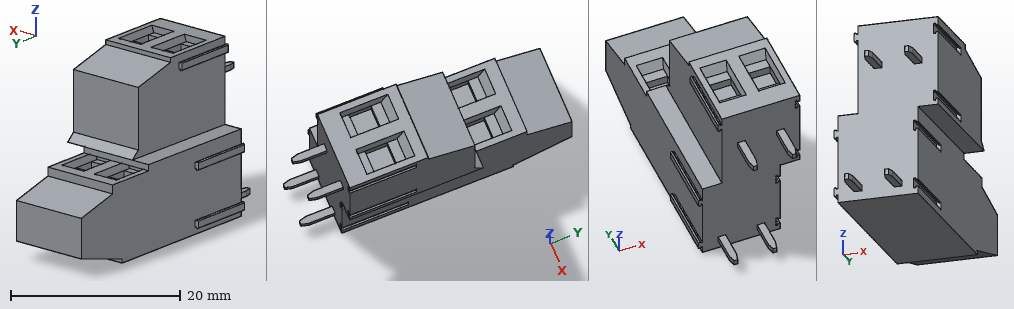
import cadquery as cq


total_depth = 33.8
tier_width = 10.0
pole_count = 2
pole_pitch = tier_width / pole_count
tier_shift = pole_pitch / 2
block_height = 22.0
block_depth = 29.5

lower_pad_top = 10.28
lower_pad_rear = 23.73
lower_nose_top = 7.65
lower_nose_bottom = 2.55
lower_shoulder = 9.15
base_rear = 21.97
base_step = 0.5

joint_depth = 17.1
joint_front = 10.95
joint_rear = 11.05

upper_depth = 16.02
upper_pad_rear = 10.07
upper_shoulder = 21.43
upper_nose_top = 19.87
upper_chamfer_top = 12.03

opening_width = 3.38
opening_length = 6.12
opening_taper_depth = 0.88
opening_side_taper = 0.3
opening_rear_taper = 1.0
well_length = 2.85
well_depth = 1.08
ledge_length = 1.0
upper_opening_front = 2.55
lower_opening_front = 16.0

pin_width = 0.95
pin_thickness = 0.7
pin_length = total_depth - block_depth
pin_straight = 3.38
pin_tip_width = 0.47
lower_pin_height = 1.5
upper_pin_height = 16.73

dovetail_run = 8.55
tongue_reach = 0.5
tongue_heights = (0.88, 1.15, 0.8)
groove_reach = 0.57
groove_heights = (1.15, 1.3, 0.85)
head_setback = 0.2
neck_start = 0.35
root_overlap = 0.17
lower_rail_levels = [1.35, 8.65]
upper_groove_levels = [12.15, 20.6]
upper_tongue_level = upper_groove_levels[-1]


def side_extrusion(points, x_start):
    """Extrude a (Y, Z) outline along +X by one tier width."""
    return cq.Workplane("YZ").workplane(offset=x_start).polyline(points).close().extrude(tier_width)


def clamp_opening(x_left, y_front, z_top):
    """Tapered funnel with a narrow, deeper well; the front wall stays vertical."""
    z_ledge = z_top - opening_taper_depth
    throat_width = opening_width - 2 * opening_side_taper
    throat_length = opening_length - opening_rear_taper
    throat_left = x_left + opening_side_taper
    funnel = (
        cq.Workplane("XY", origin=(0, 0, z_ledge))
        .moveTo(throat_left + throat_width / 2, y_front + throat_length / 2)
        .rect(throat_width, throat_length)
        .workplane(offset=opening_taper_depth)
        .moveTo(x_left + opening_width / 2, y_front + opening_length / 2)
        .rect(opening_width, opening_length)
        .loft(ruled=True)
    )
    well = cq.Workplane("XY").box(throat_width, well_length, well_depth, centered=False)
    well = well.translate((throat_left, y_front + ledge_length, z_ledge - well_depth))
    return funnel.union(well)


def pin(x_center, z_center):
    """Flat pin pointing along -Y with a tapered tip."""
    half_width = pin_width / 2
    half_tip = pin_tip_width / 2
    return (
        cq.Workplane("XY", origin=(x_center, 0, z_center - pin_thickness / 2))
        .polyline([
            (-half_width, 0),
            (-half_width, -pin_straight),
            (-half_tip, -pin_length),
            (half_tip, -pin_length),
            (half_width, -pin_straight),
            (half_width, 0),
        ])
        .close()
        .extrude(pin_thickness)
    )


def dovetail(x_wall, z_center, reach, heights):
    """Bar along Y that reaches from a wall in -X, with a flared head."""
    face, head, neck = heights
    upper_half = [
        (root_overlap, neck / 2),
        (neck_start - reach, neck / 2),
        (head_setback - reach, head / 2),
        (-reach, face / 2),
    ]
    lower_half = [(x, -z) for x, z in reversed(upper_half)]
    return (
        cq.Workplane("XZ", origin=(x_wall, 0, z_center))
        .polyline(upper_half + lower_half)
        .close()
        .extrude(-dovetail_run)
    )


lower_tier = side_extrusion([
    (0, 0),
    (base_rear, 0),
    (base_rear, base_step),
    (block_depth, lower_nose_bottom),
    (block_depth, lower_nose_top),
    (lower_pad_rear, lower_shoulder),
    (lower_pad_rear, lower_pad_top),
    (joint_depth, lower_pad_top),
    (joint_depth, joint_rear),
    (0, joint_front),
], 0)
upper_tier = side_extrusion([
    (0, joint_front),
    (joint_depth, joint_rear),
    (upper_depth, upper_chamfer_top),
    (upper_depth, upper_nose_top),
    (upper_pad_rear, upper_shoulder),
    (upper_pad_rear, block_height),
    (0, block_height),
], tier_shift)
result = lower_tier.union(upper_tier)

tiers = [
    (0, lower_opening_front, lower_pad_top, lower_pin_height),
    (tier_shift, upper_opening_front, block_height, upper_pin_height),
]
for x_tier, opening_front, deck_height, pin_height in tiers:
    for pole in range(pole_count):
        pole_center = x_tier + (pole + 0.5) * pole_pitch
        result = result.cut(clamp_opening(pole_center - opening_width / 2, opening_front, deck_height))
        result = result.union(pin(pole_center, pin_height))

for rail_level in lower_rail_levels:
    result = result.union(dovetail(0, rail_level, tongue_reach, tongue_heights))
result = result.union(dovetail(tier_shift, upper_tongue_level, tongue_reach, tongue_heights))

for rail_level in lower_rail_levels:
    result = result.cut(dovetail(tier_width, rail_level, groove_reach, groove_heights))
for rail_level in upper_groove_levels:
    result = result.cut(dovetail(tier_shift + tier_width, rail_level, groove_reach, groove_heights))